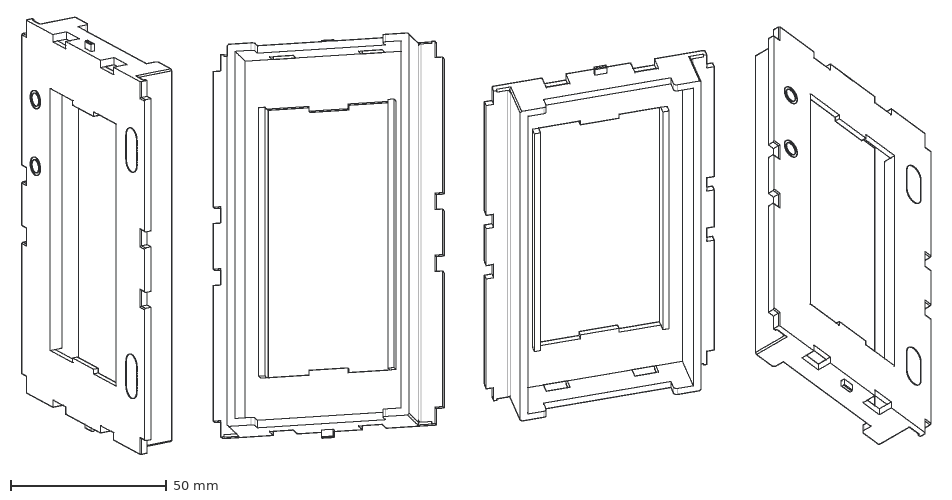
import cadquery as cq

width = 76.2
depth = 15.0
height = 132.0

pin_length = 2.5
body_height = height - 2 * pin_length
plate_thickness = 1.8
flange_thickness = 2.5
end_bevel = 0.7
bevel_inset = 1.0
edge_chamfer = 0.4

notch_depth = 2.5
notch_height = 5.4
notch_offset = 10.3

box_width = 60.5
side_wall = 2.6
end_wall = 2.5
corner_chamfer = 0.5
base_fillet = 0.7

recess_width = 42.5
recess_depth = 4.1
recess_fillet = 1.0

opening_width = 40.8
opening_height = 89.2
tongue_width = 13.0
tongue_height = 1.6
lip_depth = 4.4
lip_thickness = 2.1

window_width = 7.9
window_offset = 14.8
window_top = 5.1
ledge_depth = 2.5

pin_width = 4.0
pin_front = 1.8
pin_back = 3.2
pin_chamfer = 0.3

marking_depth = 0.3
marking_x = 29.8
label_width = 6.7
label_length = 14.9
label_z = 38.5
stamp_diameter = 6.1
stamp_core_diameter = 4.4
stamp_heights = (38.0, 15.3)

pick = 0.1


def block(size_x, size_z, y_front, y_back, x=0.0, z=0.0):
    """Box centred at (x, z) and reaching from y_front to y_back."""
    size_y = y_back - y_front
    return cq.Workplane("XY").box(size_x, size_y, size_z).translate((x, y_front + size_y / 2, z))


def cut_notches(plate):
    """Cut corner and middle notches from both long edges."""
    notches = [(body_height / 2, 2 * notch_height), (notch_offset, notch_height)]
    for z, size in notches:
        for side in (-1, 1):
            for end in (-1, 1):
                x = side * width / 2
                plate = plate.cut(block(2 * notch_depth, size, -depth, depth, x, end * z))
    return plate


def bevel_ends(plate):
    """Bevel the back edges at both ends, stopping short of the corner notches."""
    bevel_width = width - 2 * (notch_depth + bevel_inset)
    end = body_height / 2
    profile = [
        (flange_thickness, end),
        (flange_thickness, end - end_bevel),
        (flange_thickness - end_bevel, end),
    ]
    cutter = cq.Workplane("YZ").polyline(profile).close().extrude(bevel_width / 2, both=True)
    return plate.cut(cutter).cut(cutter.mirror("XY"))


def make_plate():
    """Notched plate with chamfered front edges in the notches."""
    plate = cut_notches(block(width, body_height, 0, flange_thickness))
    reach_x = width / 2 - pick
    reach_z = body_height / 2 - pick
    notch_edges = cq.selectors.BoxSelector((-reach_x, -pick, -reach_z), (reach_x, pick, reach_z))
    plate = plate.edges(notch_edges).chamfer(edge_chamfer)
    return bevel_ends(plate)


def make_box():
    """Solid box behind the plate with a recess across both end walls."""
    box = block(box_width, body_height, plate_thickness, depth)
    box = box.edges("|Y").chamfer(corner_chamfer)
    box = box.cut(block(recess_width, height, depth - recess_depth, depth))
    recess_corners = cq.selectors.BoxSelector(
        (-recess_width / 2 - pick, depth - pick, -height),
        (recess_width / 2 + pick, depth + pick, height),
    )
    return box.edges("|Z").edges(recess_corners).fillet(recess_fillet)


def hollow_out(solid):
    """Hollow the box from the back down to the plate."""
    inside_width = box_width - 2 * side_wall
    inside_height = body_height - 2 * end_wall
    return solid.cut(block(inside_width, inside_height, plate_thickness, depth))


def add_base_fillets(solid):
    """Round the corner between the box sides and the back of the plate."""
    for side in (-1, 1):
        wall_x = side * box_width / 2
        corner = cq.selectors.BoxSelector(
            (wall_x - pick, flange_thickness - pick, -height),
            (wall_x + pick, flange_thickness + pick, height),
        )
        solid = solid.edges("|Z").edges(corner).fillet(base_fillet)
    return solid


def cut_opening(solid):
    """Line the opening sides with lips, cut it and leave a tongue at its top and bottom."""
    lips = block(opening_width + 2 * lip_thickness, opening_height, plate_thickness, lip_depth)
    opening = block(opening_width, opening_height, -depth, depth)
    for end in (-1, 1):
        tongue_z = end * (opening_height - tongue_height) / 2
        opening = opening.cut(block(tongue_width, tongue_height, -depth, plate_thickness, 0, tongue_z))
    return solid.union(lips).cut(opening)


def make_window(x):
    """Cutter through an upper end wall."""
    outside = body_height / 2
    profile = [
        (-depth, outside - ledge_depth),
        (plate_thickness, outside - ledge_depth),
        (plate_thickness, outside - 2 * end_wall),
        (window_top, outside - 2 * end_wall),
        (window_top, outside),
        (-depth, outside),
    ]
    cutter = cq.Workplane("YZ").polyline(profile).close().extrude(window_width / 2, both=True)
    return cutter.translate((x, 0, 0))


def make_pin():
    """Upper locating pin with bevelled front and back tip edges."""
    pin_z = (body_height + pin_length) / 2
    pin = block(pin_width, pin_length, pin_front, pin_back, 0, pin_z)
    return pin.edges("|X and >Z").chamfer(pin_chamfer)


def cut_markings(solid):
    """Cut the label pockets and the ring grooves of the stamps into the front face."""
    front = cq.Workplane("XZ")
    labels = front.pushPoints([(marking_x, label_z), (marking_x, -label_z)])
    labels = labels.slot2D(label_length, label_width, 90).extrude(-marking_depth)
    stamps = front.pushPoints([(-marking_x, z) for z in stamp_heights])
    stamps = stamps.circle(stamp_diameter / 2).circle(stamp_core_diameter / 2).extrude(-marking_depth)
    return solid.cut(labels).cut(stamps)


result = add_base_fillets(make_plate().union(make_box()))
result = cut_opening(hollow_out(result))
result = cut_markings(result)
for side in (-1, 1):
    window = make_window(side * window_offset)
    result = result.cut(window).cut(window.mirror("XY"))
pin = make_pin()
result = result.union(pin).union(pin.mirror("XY"))